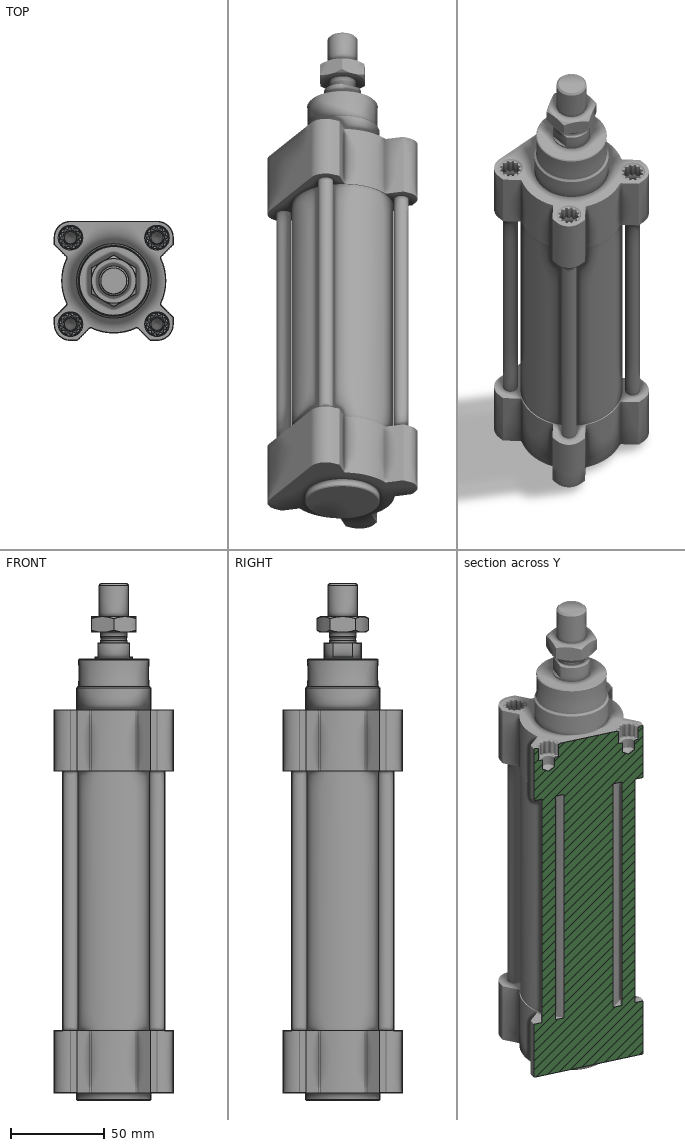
import cadquery as cq
import math

TOTAL_HEIGHT = 277.8
BOTTOM_BOSS_HEIGHT = 4.0
END_CAP_HEIGHT = 33.5
BARREL_TOP_Z = 177.0
FRONT_CAP_TOP_Z = 209.8
COLLAR_STEP_Z = 221.5
COLLAR_TOP_Z = 237.2
WRENCH_FLAT_BOTTOM_Z = 238.2
ROD_SHOULDER_Z = 245.8
RELIEF_BOTTOM_Z = 247.1
RELIEF_TAPER_Z = 248.6
RELIEF_TOP_Z = 249.3
NUT_BOTTOM_Z = 251.6

CAP_WIDTH = 64.0
CAP_BODY_DIAMETER = 56.0
TIE_ROD_SPACING = 46.5
BOSS_DIAMETER = 40.0
BOTTOM_BOSS_CHAMFER = 0.5
INNER_EAR_RADIUS = 1.0
EDGE_PICK_REACH = 0.2

COLLAR_END_DIAMETER = 38.0
COLLAR_WAIST_DIAMETER = 37.4
COLLAR_STEP_HEIGHT = 1.0
COLLAR_TOP_CHAMFER = 0.5

BARREL_DIAMETER = 55.0
TIE_ROD_DIAMETER = 8.0

SOCKET_MOUTH_DIAMETER = 13.2
SOCKET_FLOOR_DIAMETER = 12.0
SOCKET_MOUTH_DEPTH = 0.6
SPLINE_ROOT_DIAMETER = 11.45
SPLINE_TIP_DIAMETER = 9.5
SPLINE_TOOTH_COUNT = 12
SPLINE_DEPTH = 8.0
COUNTERSINK_DIAMETER = 8.0
DRILL_DIAMETER = 6.65
DRILL_DEPTH = 14.0
DRILL_POINT_ANGLE = 120.0

ROD_DIAMETER = 20.0
WRENCH_FLAT_WIDTH = 17.0
RELIEF_DIAMETER = 13.9
NECK_DIAMETER = 14.38
THREAD_DIAMETER = 16.0
THREAD_CHAMFER = 1.0

NUT_WIDTH = 24.0
NUT_HEIGHT = 8.4
NUT_CHAMFER_ANGLE = 30.0

half_width = CAP_WIDTH / 2
tie_rod_offset = TIE_ROD_SPACING / 2
ear_radius = half_width - tie_rod_offset
bottom_cap_top_z = BOTTOM_BOSS_HEIGHT + END_CAP_HEIGHT
front_cap_height = FRONT_CAP_TOP_Z - BARREL_TOP_Z
corner_points = [
    (x, y)
    for x in (-tie_rod_offset, tie_rod_offset)
    for y in (-tie_rod_offset, tie_rod_offset)
]


def cylinder(diameter, bottom_z, top_z):
    return cq.Workplane("XY").workplane(offset=bottom_z).circle(diameter / 2).extrude(top_z - bottom_z)


def cap_ear(height):
    """Corner ear at +X +Y: round outer corner, sides running at 45 degrees to the axis."""
    diagonal_gap = ear_radius * math.sqrt(2)
    inner_end = half_width - diagonal_gap
    arc_middle = tie_rod_offset + ear_radius * math.sqrt(0.5)
    return (
        cq.Workplane("XY")
        .moveTo(diagonal_gap, 0)
        .lineTo(half_width, inner_end)
        .lineTo(half_width, tie_rod_offset)
        .threePointArc((arc_middle, arc_middle), (tie_rod_offset, half_width))
        .lineTo(inner_end, half_width)
        .lineTo(0, diagonal_gap)
        .close()
        .extrude(height)
    )


def round_inner_ear_edges(cap, height):
    """Round the inner edges where the ear sides meet the round cap body on the -X, +X and -Y faces."""
    cap_radius = CAP_BODY_DIAMETER / 2
    edge_angle = math.radians(45) - math.asin(ear_radius / cap_radius)
    across = cap_radius * math.sin(edge_angle)
    outward = cap_radius * math.cos(edge_angle)
    reach = EDGE_PICK_REACH
    edges = []
    for side in (-across, across):
        for x, y in ((side, -outward), (-outward, side), (outward, side)):
            pick_box = cq.selectors.BoxSelector((x - reach, y - reach, 0), (x + reach, y + reach, height))
            edges += cap.edges("|Z").edges(pick_box).vals()
    return cap.newObject(edges).fillet(INNER_EAR_RADIUS)


def end_cap(bottom_z, height):
    """Round cap with four corner ears and a flat +Y side between its two +Y ears."""
    cap = cylinder(CAP_BODY_DIAMETER, 0, height)
    ear = cap_ear(height)
    for quarter_turn in range(4):
        cap = cap.union(ear.rotate((0, 0, 0), (0, 0, 1), 90 * quarter_turn))
    flat_side = (
        cq.Workplane("XY")
        .lineTo(tie_rod_offset, tie_rod_offset)
        .lineTo(tie_rod_offset, half_width)
        .lineTo(-tie_rod_offset, half_width)
        .lineTo(-tie_rod_offset, tie_rod_offset)
        .close()
        .extrude(height)
    )
    cap = round_inner_ear_edges(cap.union(flat_side), height)
    return cap.translate((0, 0, bottom_z))


def socket_spline():
    """Star-shaped socket with its teeth pointing to the socket axis."""
    tooth_pitch = 2 * math.pi / SPLINE_TOOTH_COUNT
    root_radius = SPLINE_ROOT_DIAMETER / 2
    tip_radius = SPLINE_TIP_DIAMETER / 2
    points = []
    for tooth in range(SPLINE_TOOTH_COUNT):
        for quarter, radius in enumerate((root_radius, root_radius, tip_radius, tip_radius)):
            angle = (tooth + quarter / 4) * tooth_pitch
            points.append((radius * math.cos(angle), radius * math.sin(angle)))
    return cq.Workplane("XY").polyline(points).close().extrude(-SPLINE_DEPTH)


def screw_socket():
    """Cutter with its mouth at Z = 0: tapered mouth, spline, countersunk drilled hole with a pointed end."""
    point_height = DRILL_DIAMETER / 2 / math.tan(math.radians(DRILL_POINT_ANGLE / 2))
    countersink_depth = (COUNTERSINK_DIAMETER - DRILL_DIAMETER) / 2
    round_parts = (
        cq.Workplane("XZ")
        .lineTo(SOCKET_MOUTH_DIAMETER / 2, 0)
        .lineTo(SOCKET_FLOOR_DIAMETER / 2, -SOCKET_MOUTH_DEPTH)
        .lineTo(SPLINE_TIP_DIAMETER / 2, -SOCKET_MOUTH_DEPTH)
        .lineTo(SPLINE_TIP_DIAMETER / 2, -SPLINE_DEPTH)
        .lineTo(COUNTERSINK_DIAMETER / 2, -SPLINE_DEPTH)
        .lineTo(DRILL_DIAMETER / 2, -SPLINE_DEPTH - countersink_depth)
        .lineTo(DRILL_DIAMETER / 2, -DRILL_DEPTH)
        .lineTo(0, -DRILL_DEPTH - point_height)
        .close()
        .revolve(360, (0, 0, 0), (0, 1, 0))
    )
    return round_parts.union(socket_spline())


def make_collar():
    """Collar on the front cap: straight base, tapered step, slightly waisted upper part."""
    waist_bottom_z = COLLAR_STEP_Z + COLLAR_STEP_HEIGHT
    waist_top_z = COLLAR_TOP_Z - COLLAR_TOP_CHAMFER
    end_radius = COLLAR_END_DIAMETER / 2
    waist_point = (COLLAR_WAIST_DIAMETER / 2, (waist_bottom_z + waist_top_z) / 2)
    return (
        cq.Workplane("XZ")
        .moveTo(0, FRONT_CAP_TOP_Z)
        .lineTo(BOSS_DIAMETER / 2, FRONT_CAP_TOP_Z)
        .lineTo(BOSS_DIAMETER / 2, COLLAR_STEP_Z)
        .lineTo(end_radius, waist_bottom_z)
        .threePointArc(waist_point, (end_radius, waist_top_z))
        .lineTo(end_radius - COLLAR_TOP_CHAMFER, COLLAR_TOP_Z)
        .lineTo(0, COLLAR_TOP_Z)
        .close()
        .revolve(360, (0, 0, 0), (0, 1, 0))
    )


def make_housing():
    bottom_boss = cylinder(BOSS_DIAMETER, 0, BOTTOM_BOSS_HEIGHT).faces("<Z").chamfer(BOTTOM_BOSS_CHAMFER)
    tie_rod = cylinder(TIE_ROD_DIAMETER, bottom_cap_top_z, BARREL_TOP_Z)
    housing = (
        cylinder(BARREL_DIAMETER, BOTTOM_BOSS_HEIGHT, FRONT_CAP_TOP_Z)
        .union(end_cap(BOTTOM_BOSS_HEIGHT, END_CAP_HEIGHT))
        .union(end_cap(BARREL_TOP_Z, front_cap_height))
        .union(bottom_boss)
        .union(make_collar())
    )
    for x, y in corner_points:
        housing = housing.union(tie_rod.translate((x, y, 0)))
    for x, y in corner_points:
        housing = housing.cut(screw_socket().translate((x, y, FRONT_CAP_TOP_Z)))
    return housing.cut(cylinder(ROD_DIAMETER, BARREL_TOP_Z, COLLAR_TOP_Z))


def relief_taper():
    """Cone from the thread relief up to the full neck diameter."""
    return (
        cq.Workplane("XY")
        .workplane(offset=RELIEF_TAPER_Z)
        .circle(RELIEF_DIAMETER / 2)
        .workplane(offset=RELIEF_TOP_Z - RELIEF_TAPER_Z)
        .circle(NECK_DIAMETER / 2)
        .loft()
    )


def make_piston_rod():
    shank = cylinder(ROD_DIAMETER, BARREL_TOP_Z, ROD_SHOULDER_Z)
    flat_height = ROD_SHOULDER_Z - WRENCH_FLAT_BOTTOM_Z
    flat_depth = (ROD_DIAMETER - WRENCH_FLAT_WIDTH) / 2
    for side in (-1, 1):
        flat = cq.Workplane("XY").box(flat_depth, ROD_DIAMETER, flat_height, centered=(True, True, False))
        flat_center_x = side * (WRENCH_FLAT_WIDTH + flat_depth) / 2
        shank = shank.cut(flat.translate((flat_center_x, 0, WRENCH_FLAT_BOTTOM_Z)))
    thread = cylinder(THREAD_DIAMETER, NUT_BOTTOM_Z, TOTAL_HEIGHT).faces(">Z").chamfer(THREAD_CHAMFER)
    return (
        shank.union(cylinder(NECK_DIAMETER, ROD_SHOULDER_Z, RELIEF_BOTTOM_Z))
        .union(cylinder(RELIEF_DIAMETER, RELIEF_BOTTOM_Z, RELIEF_TAPER_Z))
        .union(relief_taper())
        .union(cylinder(NECK_DIAMETER, RELIEF_TOP_Z, NUT_BOTTOM_Z))
        .union(thread)
    )


def make_lock_nut():
    """Hexagon nut with two sides facing X and its corners chamfered at both ends."""
    corner_diameter = NUT_WIDTH / math.cos(math.pi / 6)
    chamfer_run = (corner_diameter - NUT_WIDTH) / 2
    chamfer_rise = chamfer_run * math.tan(math.radians(NUT_CHAMFER_ANGLE))
    hexagon = cq.Workplane("XY").polygon(6, corner_diameter).extrude(NUT_HEIGHT)
    hexagon = hexagon.rotate((0, 0, 0), (0, 0, 1), 30)
    envelope = cylinder(corner_diameter, 0, NUT_HEIGHT).faces("<Z or >Z").chamfer(chamfer_rise, chamfer_run)
    nut = hexagon.intersect(envelope).cut(cylinder(THREAD_DIAMETER, 0, NUT_HEIGHT))
    return nut.translate((0, 0, NUT_BOTTOM_Z))


housing = make_housing()
piston_rod = make_piston_rod()
lock_nut = make_lock_nut()

result = cq.Compound.makeCompound([housing.val(), piston_rod.val(), lock_nut.val()])